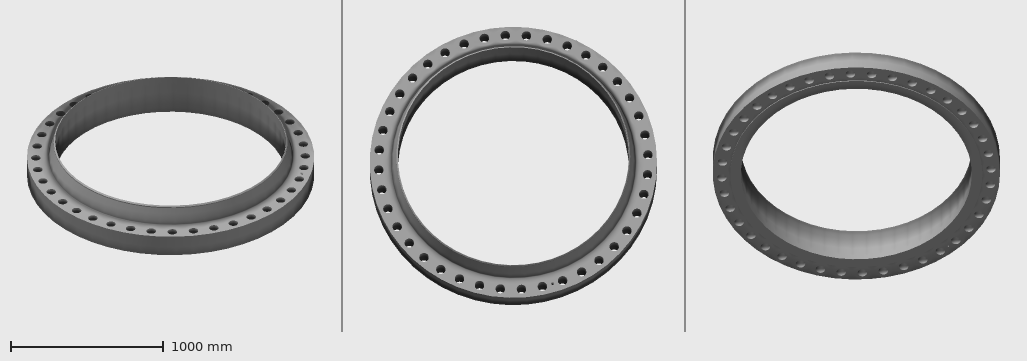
import cadquery as cq
import math

flange_diameter = 1878.0
total_height = 272.0

raised_face_diameter = 1648.0
raised_face_height = 5.0
flange_top = 150.0

hub_base_diameter = 1600.0
hub_base_fillet = 5.0
hub_tip_diameter = 1528.0
hub_tip_band = 8.0
bore_diameter = 1510.0
weld_land_width = 2.0
bevel_height = 8.0

bolt_count = 40
bolt_circle_diameter = 1761.0
bolt_hole_diameter = 62.0
small_hole_diameter = 11.0
small_hole_mouth_diameter = 23.0


def turned_solid(section):
    """Turn a closed (radius, height) section about the Z axis."""
    return cq.Workplane("XZ").polyline(section).close().revolve(360, (0, 0), (0, 1))


def hub_flange():
    """Flange, raised face and bevelled hub, with a fillet where the hub meets the flange."""
    bore_radius = bore_diameter / 2
    bevel_start = total_height - bevel_height
    section = [
        (bore_radius, 0),
        (raised_face_diameter / 2, 0),
        (raised_face_diameter / 2, raised_face_height),
        (flange_diameter / 2, raised_face_height),
        (flange_diameter / 2, flange_top),
        (hub_base_diameter / 2, flange_top),
        (hub_tip_diameter / 2, bevel_start - hub_tip_band),
        (hub_tip_diameter / 2, bevel_start),
        (bore_radius + weld_land_width, total_height),
        (bore_radius, total_height),
    ]
    hub_foot = cq.selectors.RadiusNthSelector(-3)
    body = turned_solid(section)
    return body.edges("%CIRCLE").edges(hub_foot).fillet(hub_base_fillet)


def bolt_holes():
    return (
        cq.Workplane("XY")
        .polarArray(bolt_circle_diameter / 2, 0, 360, bolt_count)
        .circle(bolt_hole_diameter / 2)
        .extrude(total_height)
    )


def small_hole():
    """Hole through the flange halfway to the next bolt hole, with a 45 degree countersunk mouth."""
    mouth_radius = small_hole_mouth_diameter / 2
    pilot_radius = small_hole_diameter / 2
    section = [
        (0, 0),
        (pilot_radius, 0),
        (pilot_radius, flange_top - (mouth_radius - pilot_radius)),
        (mouth_radius, flange_top),
        (0, flange_top),
    ]
    half_pitch = math.radians(360 / bolt_count / 2)
    bolt_circle_radius = bolt_circle_diameter / 2
    x = bolt_circle_radius * math.cos(half_pitch)
    y = bolt_circle_radius * math.sin(half_pitch)
    return turned_solid(section).translate((x, y, 0))


result = hub_flange().cut(bolt_holes()).cut(small_hole())